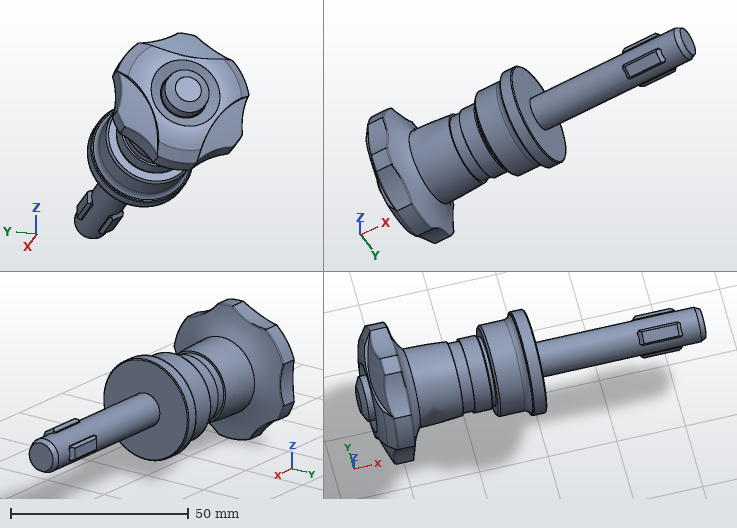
import cadquery as cq
import math

BUTTON_EDGE_X = 1.4
KNOB_FACE_X = 2.8
DOME_END_X = 4.2
RIM_FRONT_X = 6.5
RIM_BACK_X = 11.6
NECK_X = 15.1
BODY_END_X = 27.9
GROOVE_END_X = 31.3
BAND_END_X = 36.5
COLLAR_X = 37.5
COVE_X = 45.1
FLANGE_X = 47.1
SHAFT_X = 51.1
TIP_X = 100.2

BUTTON_FACE_R = 3.8
BUTTON_R = 6.5
DISH_R = 10.1
DOME_R = 16.9
RIM_R = 20.0
NECK_R = 11.4
BODY_END_R = 10.7
GROOVE_R = 10.1
COLLAR_R = 13.2
COVE_END_R = 14.3
FLANGE_R = 15.0
SHAFT_R = 5.0

DOME_MIDDLE = (3.2, 13.5)
FLARE_MIDDLE = (12.9, 15.1)
BODY_MIDDLE = ((NECK_X + BODY_END_X) / 2, 11.2)
COVE_MIDDLE = (46.2, 13.5)

RIM_FILLET = 0.3
RIM_EDGE_DEPTH = 1.2
BAND_CHAMFER = 0.3
COLLAR_CHAMFER = 0.6
FLANGE_CHAMFER = 0.3
TIP_CHAMFER_LENGTH = 1.6
TIP_CHAMFER_DEPTH = 0.8
DISH_DEPTH = 2.0
BUTTON_GAP = 0.3

LOBE_COUNT = 6
LOBE_PITCH = 360 / LOBE_COUNT
WIDE_LOBE_ANGLE = 154.5
WIDE_LOBE_HALF = 16.0
NARROW_LOBE_HALF = 7.5
SCALLOP_BOTTOM_R = 18.0

SCOOP_COUNT = LOBE_COUNT // 2
SCOOP_INNER_R = 11.4
SCOOP_EDGE_R = 30.6
SCOOP_FLOOR_X = 3.3
SCOOP_FLOOR_MIDDLE = (4.9, 16.0)

KEY_COUNT = 3
KEY_CENTRE_X = 87.2
KEY_LENGTH = 12.6
KEY_WIDTH = 4.4
KEY_R = 6.0
KEY_SLOPE = 1.2
KEY_SIDE_TAPER = 0.5
KEY_CORNER = 0.7


def on_circle(radius, degrees):
    """Point (Y, Z) at an angle measured from +Y toward +Z."""
    angle = math.radians(degrees)
    return (radius * math.cos(angle), radius * math.sin(angle))


def revolve_about_x(profile):
    return profile.close().revolve(360, (0, 0, 0), (1, 0, 0))


def turned_knob():
    """Button, domed knob and tapering neck, up to the end of the body."""
    profile = (
        cq.Workplane("XY")
        .lineTo(0, BUTTON_FACE_R)
        .lineTo(BUTTON_EDGE_X, BUTTON_R)
        .lineTo(KNOB_FACE_X + DISH_DEPTH, BUTTON_R)
        .lineTo(KNOB_FACE_X + DISH_DEPTH, BUTTON_R + BUTTON_GAP)
        .lineTo(KNOB_FACE_X, DISH_R)
        .threePointArc(DOME_MIDDLE, (DOME_END_X, DOME_R))
        .lineTo(RIM_FRONT_X, RIM_R)
        .lineTo(RIM_BACK_X, RIM_R)
        .threePointArc(FLARE_MIDDLE, (NECK_X, NECK_R))
        .threePointArc(BODY_MIDDLE, (BODY_END_X, BODY_END_R))
        .lineTo(BODY_END_X, 0)
    )
    return revolve_about_x(profile)


def turned_shank():
    """Grooved bands, collar, flange and shaft."""
    profile = (
        cq.Workplane("XY")
        .moveTo(BODY_END_X, 0)
        .lineTo(BODY_END_X, GROOVE_R)
        .lineTo(GROOVE_END_X, GROOVE_R)
        .lineTo(GROOVE_END_X, BODY_END_R)
        .lineTo(BAND_END_X - BAND_CHAMFER, BODY_END_R)
        .lineTo(BAND_END_X, BODY_END_R - BAND_CHAMFER)
        .lineTo(BAND_END_X, GROOVE_R)
        .lineTo(COLLAR_X, GROOVE_R)
        .lineTo(COLLAR_X, COLLAR_R - COLLAR_CHAMFER)
        .lineTo(COLLAR_X + COLLAR_CHAMFER, COLLAR_R)
        .lineTo(COVE_X, COLLAR_R)
        .threePointArc(COVE_MIDDLE, (FLANGE_X, COVE_END_R))
        .lineTo(FLANGE_X, FLANGE_R - FLANGE_CHAMFER)
        .lineTo(FLANGE_X + FLANGE_CHAMFER, FLANGE_R)
        .lineTo(SHAFT_X - FLANGE_CHAMFER, FLANGE_R)
        .lineTo(SHAFT_X, FLANGE_R - FLANGE_CHAMFER)
        .lineTo(SHAFT_X, SHAFT_R)
        .lineTo(TIP_X - TIP_CHAMFER_LENGTH, SHAFT_R)
        .lineTo(TIP_X, SHAFT_R - TIP_CHAMFER_DEPTH)
        .lineTo(TIP_X, 0)
    )
    return revolve_about_x(profile)


def grip_outline():
    """Prism whose section is the lobed outline of the knob."""
    half_widths = [WIDE_LOBE_HALF, NARROW_LOBE_HALF]
    outline = cq.Workplane("YZ").moveTo(*on_circle(RIM_R, WIDE_LOBE_ANGLE - WIDE_LOBE_HALF))
    for index in range(LOBE_COUNT):
        centre = WIDE_LOBE_ANGLE + index * LOBE_PITCH
        lobe_end = centre + half_widths[index % 2]
        next_start = centre + LOBE_PITCH - half_widths[(index + 1) % 2]
        scallop_middle = (lobe_end + next_start) / 2
        outline = outline.threePointArc(on_circle(RIM_R, centre), on_circle(RIM_R, lobe_end))
        outline = outline.threePointArc(
            on_circle(SCALLOP_BOTTOM_R, scallop_middle), on_circle(RIM_R, next_start)
        )
    return outline.close().extrude(BODY_END_X)


def face_scoop():
    """Cutter over one narrow lobe: outside an arc of the knob face, down to a flared floor."""
    disc_distance = SCOOP_INNER_R + SCOOP_EDGE_R
    disc = (
        cq.Workplane("YZ")
        .center(*on_circle(disc_distance, WIDE_LOBE_ANGLE + LOBE_PITCH))
        .circle(SCOOP_EDGE_R)
        .extrude(RIM_FRONT_X)
    )
    floor = revolve_about_x(
        cq.Workplane("XY")
        .moveTo(SCOOP_FLOOR_X, 0)
        .lineTo(SCOOP_FLOOR_X, SCOOP_INNER_R)
        .threePointArc(SCOOP_FLOOR_MIDDLE, (RIM_FRONT_X, RIM_R))
        .lineTo(RIM_FRONT_X, 0)
    )
    return disc.cut(floor)


def locking_key():
    """Key on the +Y side of the shaft: clipped corners, sloped ends and tapered sides."""
    half_length = KEY_LENGTH / 2
    half_width = KEY_WIDTH / 2
    slope_start = KEY_R - KEY_SLOPE
    blank = (
        cq.Workplane("XZ")
        .rect(KEY_LENGTH, KEY_WIDTH)
        .extrude(-KEY_R)
        .edges("|Y")
        .chamfer(KEY_CORNER)
    )
    lengthwise = (
        cq.Workplane("XY")
        .moveTo(-half_length, 0)
        .lineTo(-half_length, slope_start)
        .lineTo(KEY_SLOPE - half_length, KEY_R)
        .lineTo(half_length - KEY_SLOPE, KEY_R)
        .lineTo(half_length, slope_start)
        .lineTo(half_length, 0)
        .close()
        .extrude(half_width, both=True)
    )
    crosswise = (
        cq.Workplane("YZ")
        .moveTo(0, -half_width)
        .lineTo(slope_start, -half_width)
        .lineTo(KEY_R, KEY_SIDE_TAPER - half_width)
        .lineTo(KEY_R, half_width - KEY_SIDE_TAPER)
        .lineTo(slope_start, half_width)
        .lineTo(0, half_width)
        .close()
        .extrude(half_length, both=True)
    )
    return blank.intersect(lengthwise).intersect(crosswise).translate((KEY_CENTRE_X, 0, 0))


def spin(shape, degrees):
    return shape.rotate((0, 0, 0), (1, 0, 0), degrees)


def rim_edges(solid, x_min, x_max):
    """Select the edges of the lobed rim that lie between two stations along X."""
    chosen = []
    for edge in solid.edges().vals():
        box = edge.BoundingBox()
        centre = edge.Center()
        on_rim = math.hypot(centre.y, centre.z) > SCALLOP_BOTTOM_R
        if on_rim and box.xmin > x_min and box.xmax < x_max:
            chosen.append(edge)
    return solid.newObject(chosen)


knob = turned_knob().intersect(grip_outline())
for index in range(SCOOP_COUNT):
    knob = knob.cut(spin(face_scoop(), index * 360 / SCOOP_COUNT))
for rim_x in (RIM_FRONT_X, RIM_BACK_X):
    knob = rim_edges(knob, rim_x - RIM_EDGE_DEPTH, rim_x + RIM_EDGE_DEPTH).fillet(RIM_FILLET)

result = knob.union(turned_shank())
for index in range(KEY_COUNT):
    result = result.union(spin(locking_key(), index * 360 / KEY_COUNT))